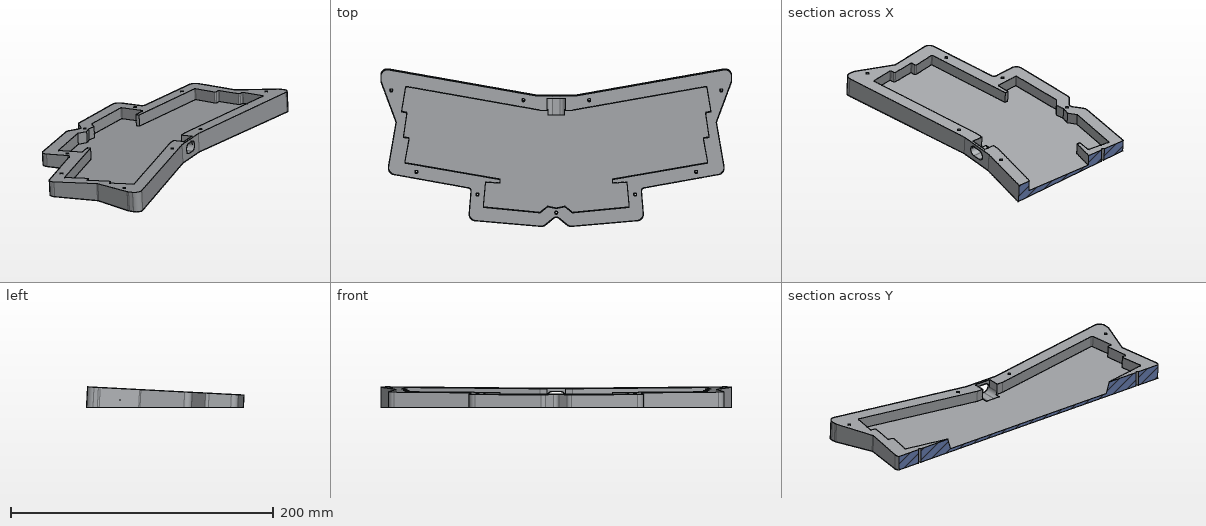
import cadquery as cq
import math

HALF_WIDTH = 133.64
BACK_HEIGHT = 15.85
TILT = math.radians(3.0)
WING_ANGLE = math.radians(10.0)
BLANK_DEPTH = 25.0
CUTTER_SIZE = 400.0

BACK_FLAT_HALF = 14.4
BACK_FLAT_Y = 39.4
BACK_CORNER_Y = BACK_FLAT_Y + (HALF_WIDTH - BACK_FLAT_HALF) * math.tan(WING_ANGLE)
CORNER_RADIUS = 5.0
INNER_CORNER_RADIUS = 2.5

BACK_CORNER_HALF_ANGLE = (math.pi / 2 - WING_ANGLE) / 2
TALLEST_Y = BACK_CORNER_Y - CORNER_RADIUS / math.tan(BACK_CORNER_HALF_ANGLE) + CORNER_RADIUS

OUTER_CORNERS = [
    (-BACK_FLAT_HALF, BACK_FLAT_Y, 0),
    (-HALF_WIDTH, BACK_CORNER_Y, CORNER_RADIUS),
    (-HALF_WIDTH, 50.4, 4),
    (-122.0, 19.2, 2),
    (-128.7, -19.6, CORNER_RADIUS),
    (-64.8, -31.1, INNER_CORNER_RADIUS),
    (-66.8, -55.3, CORNER_RADIUS),
    (-9.7, -60.22, CORNER_RADIUS),
    (0, -52.2, 3),
]

POCKET_DEPTH = 8.8
POCKET_CORNERS = [
    (-12.4, 28.6, 0),
    (-114.7, 46.7, 1),
    (-117.9, 27.3, 0.5),
    (-113.7, 26.7, 1),
    (-116.5, 7.8, 0.5),
    (-112.0, 7.3, 1),
    (-115.5, -11.7, 0.5),
    (-42.9, -24.3, 0),
    (-42.9, -27.0, 0),
    (-53.9, -26.2, 1),
    (-55.6, -45.5, 0.5),
    (-12.4, -49.7, 0),
    (-6.5, -45.0, 0),
    (0, -46.4, 0),
]

SCREW_DIAMETER = 2.2
FRONT_SCREW = (0, -49.7)
LEFT_SCREWS = [(-125.7, 43.7), (-25.1, 36.2), (-106.6, -18.5), (-60.1, -35.8)]

PORT_WIDTH = 14.0
PORT_HEIGHT = 8.0
PORT_BOTTOM = 10.5
PORT_CENTER_DEPTH = PORT_BOTTOM - PORT_HEIGHT / 2
PORT_FRONT = 24.5
PORT_LENGTH = 20.0
OPENING_BACK = 37.5

TOP_PLANE = cq.Plane(
    origin=(0, 0, BACK_HEIGHT - TALLEST_Y * math.sin(TILT)),
    xDir=(1, 0, 0),
    normal=(0, -math.sin(TILT), math.cos(TILT)),
)


def mirrored(corners):
    """Complete a left-half corner list with its mirror image across X = 0."""
    right_half = [(-x, y, radius) for x, y, radius in reversed(corners) if x != 0]
    return corners + right_half


def toward(start, end, distance):
    """Point at the given distance from start on the line to end."""
    share = distance / math.dist(start, end)
    return (start[0] + (end[0] - start[0]) * share, start[1] + (end[1] - start[1]) * share)


def square_prism(corners, depth):
    """Prism hanging square from the top face, each outline corner rounded by its own radius."""
    first_x, first_y, _ = corners[0]
    path = cq.Workplane(TOP_PLANE).moveTo(first_x, first_y)
    for index in range(1, len(corners) - 1):
        x, y, radius = corners[index]
        corner = (x, y)
        if radius == 0:
            path = path.lineTo(x, y)
            continue
        before = corners[index - 1][:2]
        after = corners[index + 1][:2]
        unit_before = toward((0, 0), (before[0] - x, before[1] - y), 1)
        unit_after = toward((0, 0), (after[0] - x, after[1] - y), 1)
        cosine = unit_before[0] * unit_after[0] + unit_before[1] * unit_after[1]
        half_angle = math.acos(cosine) / 2
        setback = radius / math.tan(half_angle)
        inward = (x + unit_before[0] + unit_after[0], y + unit_before[1] + unit_after[1])
        arc_middle = toward(corner, inward, radius / math.sin(half_angle) - radius)
        path = path.lineTo(*toward(corner, before, setback))
        path = path.threePointArc(arc_middle, toward(corner, after, setback))
    last_x, last_y, _ = corners[-1]
    return path.lineTo(last_x, last_y).close().extrude(-depth)


def make_body():
    """Outer prism with its lower end cut level at Z = 0."""
    prism = square_prism(mirrored(OUTER_CORNERS), BLANK_DEPTH)
    below = cq.Workplane("XY").box(CUTTER_SIZE, CUTTER_SIZE, CUTTER_SIZE)
    return prism.cut(below.translate((0, 0, -CUTTER_SIZE / 2)))


def make_screw_holes():
    points = [FRONT_SCREW]
    for x, y in LEFT_SCREWS:
        points += [(x, y), (-x, y)]
    return cq.Workplane(TOP_PLANE).pushPoints(points).circle(SCREW_DIAMETER / 2).extrude(-BLANK_DEPTH)


def make_port():
    """Round-ended slot running along the top face from the pocket out through the back wall."""
    section_plane = cq.Plane(
        origin=TOP_PLANE.toWorldCoords((0, PORT_FRONT, -PORT_CENTER_DEPTH)),
        xDir=TOP_PLANE.xDir,
        normal=TOP_PLANE.yDir,
    )
    return cq.Workplane(section_plane).slot2D(PORT_WIDTH, PORT_HEIGHT).extrude(PORT_LENGTH)


def make_port_opening():
    """Straight-sided opening from the top face down to the middle of the port."""
    length = OPENING_BACK - PORT_FRONT
    opening = cq.Workplane(TOP_PLANE).center(0, PORT_FRONT + length / 2)
    return opening.rect(PORT_WIDTH, length).extrude(-PORT_CENTER_DEPTH)


result = make_body()
result = result.cut(square_prism(mirrored(POCKET_CORNERS), POCKET_DEPTH))
result = result.cut(make_screw_holes())
result = result.cut(make_port())
result = result.cut(make_port_opening())